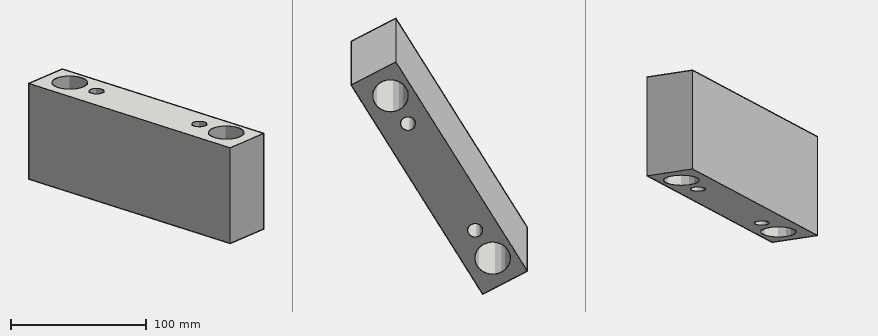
import cadquery as cq

length = 196.0
width = 38.0
height = 76.0

large_diameter = 26.0
large_spacing = 152.0
small_diameter = 11.0
small_spacing = 100.0
hole_line_offset = 2.0


def drill_pair(body, diameter, spacing):
    """Drill two through holes, spaced evenly about the middle of the block."""
    centers = [(side * spacing / 2, hole_line_offset) for side in (-1, 1)]
    top = body.faces(">Z").workplane(origin=(0, 0, height / 2))
    return top.pushPoints(centers).hole(diameter)


block = cq.Workplane("XY").box(length, width, height)
block = drill_pair(block, large_diameter, large_spacing)
result = drill_pair(block, small_diameter, small_spacing)